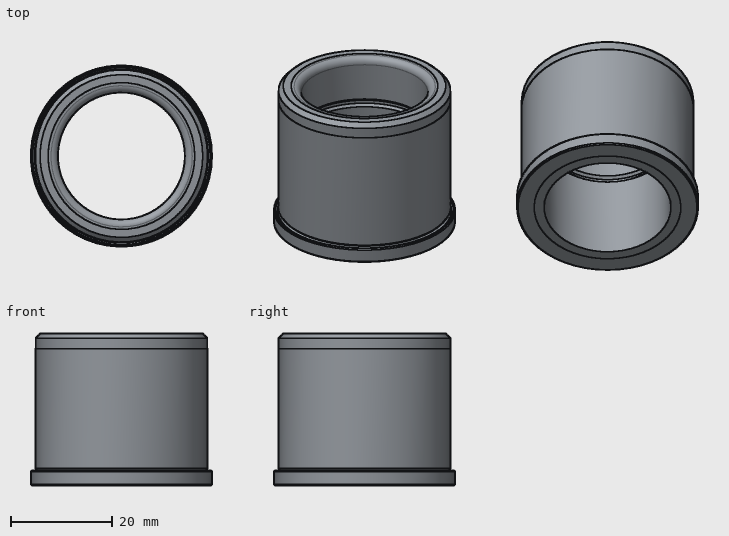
import cadquery as cq
import math

flange_radius = 17.9
height = 30.0

flange_height = 3.0
flange_chamfer = 0.25
body_radius = 17.0
lead_in_radius = 16.97
lead_in_length = 3.0
top_chamfer = 0.93

undercut_depth = 0.4
root_radius = 0.35
recess_outer_radius = 17.5

liner_radius = 14.45
bore_radius = 12.5
mouth_fillet = 1.43

groove_depth = 0.55
groove_width = 1.72
groove_top_from_mouth = 9.02


def revolve_about_z(profile):
    """Turn a closed radius-height profile on the XZ plane about the Z axis."""
    return profile.close().revolve(360, (0, 0, 0), (0, 1, 0))


def make_housing():
    neck_radius = body_radius - undercut_depth
    recess_floor = flange_height - root_radius
    root_mid_radius = neck_radius + root_radius * (1 - math.cos(math.radians(45)))
    root_mid_height = flange_height - root_radius * math.sin(math.radians(45))
    lead_in_bottom = height - lead_in_length

    profile = (
        cq.Workplane("XZ")
        .moveTo(liner_radius, 0)
        .lineTo(flange_radius - flange_chamfer, 0)
        .lineTo(flange_radius, flange_chamfer)
        .lineTo(flange_radius, flange_height - flange_chamfer)
        .lineTo(flange_radius - flange_chamfer, flange_height)
        .lineTo(recess_outer_radius, flange_height)
        .lineTo(recess_outer_radius - root_radius, recess_floor)
        .lineTo(neck_radius + root_radius, recess_floor)
        .threePointArc((root_mid_radius, root_mid_height), (neck_radius, flange_height))
        .lineTo(body_radius, flange_height + undercut_depth)
        .lineTo(body_radius, lead_in_bottom)
        .lineTo(lead_in_radius, lead_in_bottom)
        .lineTo(lead_in_radius, height - top_chamfer)
        .lineTo(lead_in_radius - top_chamfer, height)
        .lineTo(liner_radius, height)
    )
    return revolve_about_z(profile)


def make_liner():
    groove_top = height - groove_top_from_mouth
    groove_bottom = groove_top - groove_width
    groove_radius = bore_radius + groove_depth
    fillet_mid_offset = mouth_fillet * (1 - math.cos(math.radians(45)))

    profile = (
        cq.Workplane("XZ")
        .moveTo(bore_radius, 0)
        .lineTo(liner_radius, 0)
        .lineTo(liner_radius, height)
        .lineTo(bore_radius + mouth_fillet, height)
        .threePointArc(
            (bore_radius + fillet_mid_offset, height - fillet_mid_offset),
            (bore_radius, height - mouth_fillet),
        )
        .lineTo(bore_radius, groove_top)
        .lineTo(groove_radius, groove_top - groove_depth)
        .lineTo(groove_radius, groove_bottom + groove_depth)
        .lineTo(bore_radius, groove_bottom)
    )
    return revolve_about_z(profile)


housing = make_housing()
liner = make_liner()

result = cq.Compound.makeCompound([housing.val(), liner.val()])